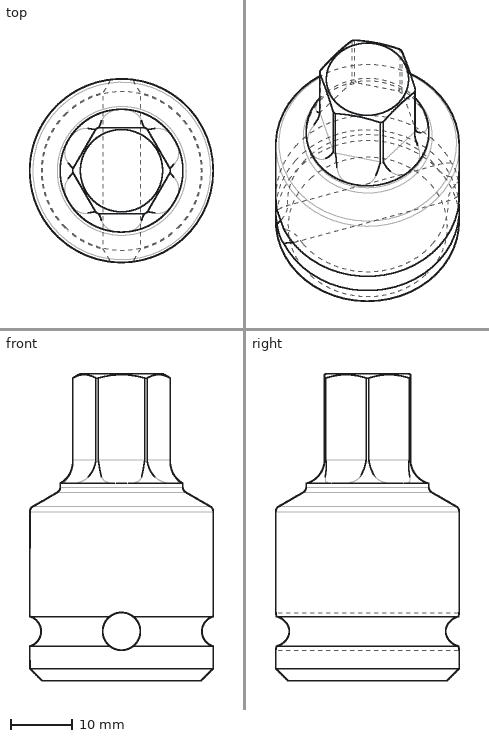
import cadquery as cq
import math

total_height = 50.0
body_radius = 14.95
base_chamfer = 2.0

pin_height = 8.05
pin_hole_diameter = 6.1
groove_radius = 2.5
groove_depth = 1.85

collar_radius = 10.0
shoulder_corner_height = 28.1
shoulder_angle = math.radians(30)
blend_radius = 1.0

across_flats = 14.0
hex_corner_radius = 7.95
flat_bottom = 36.0
cove_radius = 4.0
tip_radius = 6.7
tip_angle = math.radians(30)


def arc_point(center, radius, degrees):
    angle = math.radians(degrees)
    return (center[0] + radius * math.cos(angle), center[1] + radius * math.sin(angle))


groove_center = (body_radius - groove_depth + groove_radius, pin_height)
groove_half_height = math.sqrt(groove_radius**2 - (groove_center[0] - body_radius) ** 2)

blend_length = blend_radius * math.tan((math.pi / 2 - shoulder_angle) / 2)
blend_run = blend_length * math.cos(shoulder_angle)
blend_rise = blend_length * math.sin(shoulder_angle)
collar_corner_height = shoulder_corner_height + (body_radius - collar_radius) * math.tan(shoulder_angle)
body_blend_center = (body_radius - blend_radius, shoulder_corner_height - blend_length)
collar_blend_center = (collar_radius + blend_radius, collar_corner_height + blend_length)
blend_middle_angle = math.degrees(math.pi / 2 - shoulder_angle) / 2

flat_distance = across_flats / 2
flat_cove_center = (flat_distance + cove_radius, flat_bottom)
collar_top = flat_bottom - math.sqrt(cove_radius**2 - (flat_cove_center[0] - collar_radius) ** 2)
corner_cove_x = hex_corner_radius + cove_radius
corner_cove_drop = math.sqrt(cove_radius**2 - (corner_cove_x - collar_radius) ** 2)
corner_cove_center = (corner_cove_x, collar_top + corner_cove_drop)
corner_cove_sweep = math.degrees(math.asin(corner_cove_drop / cove_radius))
tip_drop = (hex_corner_radius - tip_radius) * math.tan(tip_angle)


def turned_blank():
    """Revolved body, shoulder, collar and round bit blank."""
    return (
        cq.Workplane("XZ")
        .moveTo(0, 0)
        .lineTo(body_radius - base_chamfer, 0)
        .lineTo(body_radius, base_chamfer)
        .lineTo(body_radius, pin_height - groove_half_height)
        .threePointArc(
            (body_radius - groove_depth, pin_height),
            (body_radius, pin_height + groove_half_height),
        )
        .lineTo(body_radius, body_blend_center[1])
        .threePointArc(
            arc_point(body_blend_center, blend_radius, blend_middle_angle),
            (body_radius - blend_run, shoulder_corner_height + blend_rise),
        )
        .lineTo(collar_radius + blend_run, collar_corner_height - blend_rise)
        .threePointArc(
            arc_point(collar_blend_center, blend_radius, 180 + blend_middle_angle),
            (collar_radius, collar_blend_center[1]),
        )
        .lineTo(collar_radius, collar_top)
        .threePointArc(
            arc_point(corner_cove_center, cove_radius, 180 + corner_cove_sweep / 2),
            (hex_corner_radius, corner_cove_center[1]),
        )
        .lineTo(hex_corner_radius, total_height - tip_drop)
        .lineTo(tip_radius, total_height)
        .lineTo(0, total_height)
        .close()
        .revolve(360, (0, 0, 0), (0, 1, 0))
    )


def flat_cutter():
    """Material removed beside the +Y flat, with a quarter-round cove at its foot."""
    return (
        cq.Workplane("YZ")
        .moveTo(flat_distance, total_height)
        .lineTo(flat_distance, flat_bottom)
        .threePointArc(
            arc_point(flat_cove_center, cove_radius, 225),
            (flat_cove_center[0], flat_bottom - cove_radius),
        )
        .lineTo(flat_cove_center[0], total_height)
        .close()
        .extrude(collar_radius, both=True)
    )


def pin_hole():
    """Cross-pin hole through the body along Y."""
    return (
        cq.Workplane("XZ")
        .center(0, pin_height)
        .circle(pin_hole_diameter / 2)
        .extrude(body_radius, both=True)
    )


result = turned_blank()
for side in range(6):
    result = result.cut(flat_cutter().rotate((0, 0, 0), (0, 0, 1), 60 * side))
result = result.cut(pin_hole())